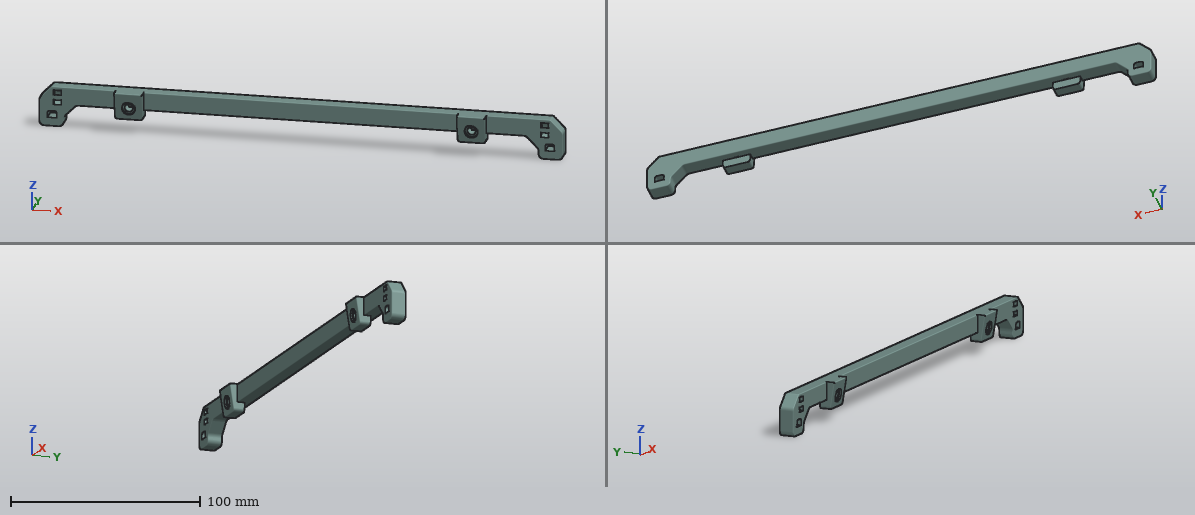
import cadquery as cq
import math

LENGTH = 282.7
HEIGHT = 22.0
THICKNESS = 8.2
BAR_HEIGHT = 10.0
LEG_WIDTH = 13.3
CHAMFER = 6.8
TOP_CORNER_RADIUS = 1.5
PROFILE_RADIUS = 2.8
EDGE_RADIUS = 0.5

BOSS_SPACING = 185.0
BOSS_WIDTH = 15.3
BOSS_HEIGHT = 15.0
TOTAL_DEPTH = 12.5
BOSS_LEAN = math.radians(9)
BOSS_CORNER_RADIUS = 1.7

HOLE_DROP = 8.5
HOLE_DIAMETER = 4.5
HOLE_DEPTH = 6.8
COUNTERBORE_DIAMETER = 7.0
COUNTERBORE_DEPTH = 1.0

SLOT_INSET = 7.0
SLOT_WIDTH = 5.0
SLOT_HEIGHT = 3.7
SLOT_BOTTOM = -17.2
SLOT_RADIUS = 1.5

TIE_INSET = 10.0
TIE_WIDTH = 4.2
TIE_DROP = 6.0
TIE_OUTER_RADIUS = 4.0
TIE_INNER_RADIUS = 1.5

BOSS_ROUNDING_LOSS = EDGE_RADIUS * (math.tan(BOSS_LEAN) + 1 / math.cos(BOSS_LEAN) - 1)
BOSS_TOP_REACH = TOTAL_DEPTH - THICKNESS + BOSS_ROUNDING_LOSS
BOSS_BOTTOM_REACH = BOSS_TOP_REACH - BOSS_HEIGHT * math.tan(BOSS_LEAN)

HALF = LENGTH / 2
LEG_INNER = HALF - LEG_WIDTH


def make_bar():
    right_half = [
        (HALF - CHAMFER, 0),
        (HALF, -CHAMFER),
        (HALF, -HEIGHT),
        (LEG_INNER, -HEIGHT),
        (LEG_INNER, -BAR_HEIGHT - CHAMFER),
        (LEG_INNER - CHAMFER, -BAR_HEIGHT),
    ]
    left_half = [(-x, z) for x, z in reversed(right_half)]
    bar = cq.Workplane("XZ").polyline(right_half + left_half).close().extrude(-THICKNESS)
    for side in (-1, 1):
        for index, (x, z) in enumerate(right_half):
            corner = cq.selectors.NearestToPointSelector((side * x, THICKNESS / 2, z))
            radius = TOP_CORNER_RADIUS if index == 0 else PROFILE_RADIUS
            bar = bar.edges("|Y").edges(corner).fillet(radius)
    return bar.faces("<Y or >Y").edges().fillet(EDGE_RADIUS)


def make_boss(x):
    side_profile = [
        (THICKNESS / 2, 0),
        (-BOSS_TOP_REACH, 0),
        (-BOSS_BOTTOM_REACH, -BOSS_HEIGHT),
        (THICKNESS / 2, -BOSS_HEIGHT),
    ]
    boss = (
        cq.Workplane("YZ", origin=(x, 0, 0))
        .polyline(side_profile).close()
        .extrude(BOSS_WIDTH / 2, both=True)
    )
    boss = boss.edges("|Y and <Z").fillet(BOSS_CORNER_RADIUS)
    return boss.faces("<Y").edges().fillet(EDGE_RADIUS)


def make_boss_hole(x):
    face_y = -BOSS_TOP_REACH + HOLE_DROP * math.tan(BOSS_LEAN)
    mouth = cq.Vector(x, face_y, -HOLE_DROP)
    inward = cq.Vector(0, math.cos(BOSS_LEAN), math.sin(BOSS_LEAN))
    hole = cq.Solid.makeCylinder(HOLE_DIAMETER / 2, HOLE_DEPTH, mouth, inward)
    counterbore = cq.Solid.makeCylinder(COUNTERBORE_DIAMETER / 2, COUNTERBORE_DEPTH, mouth, inward)
    return cq.Workplane(hole.fuse(counterbore))


def make_slot(x):
    slot = (
        cq.Workplane("XZ", origin=(x, 0, SLOT_BOTTOM + SLOT_HEIGHT / 2))
        .rect(SLOT_WIDTH, SLOT_HEIGHT)
        .extrude(-THICKNESS)
    )
    return slot.edges("|Y and >Z").fillet(SLOT_RADIUS)


def make_tie_channel(x):
    return (
        cq.Workplane("YZ", origin=(x, 0, -TIE_DROP))
        .circle(TIE_OUTER_RADIUS)
        .circle(TIE_INNER_RADIUS)
        .extrude(TIE_WIDTH / 2, both=True)
    )


result = make_bar()
for side in (-1, 1):
    boss_x = side * BOSS_SPACING / 2
    result = (
        result.union(make_boss(boss_x))
        .cut(make_boss_hole(boss_x))
        .cut(make_slot(side * (HALF - SLOT_INSET)))
        .cut(make_tie_channel(side * (HALF - TIE_INSET)))
    )